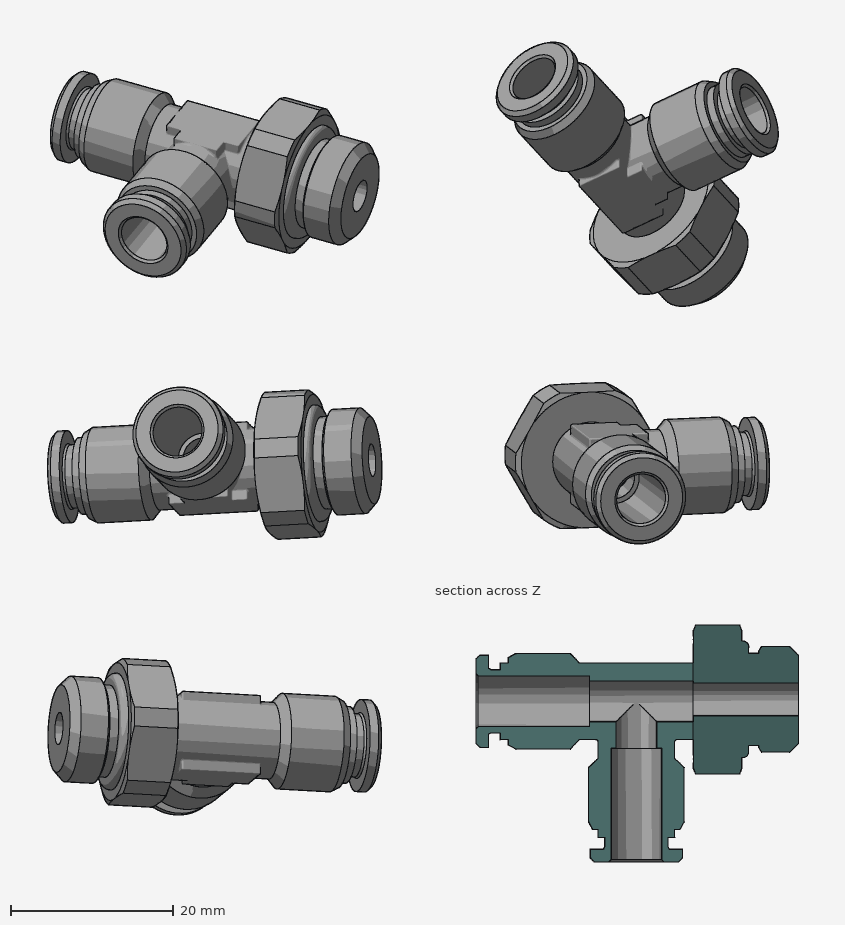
import cadquery as cq
import math


port_reach = 19.8
tube_radius = 4.75
barrel_radius = 5.92
barrel_start = 7.05
barrel_full_start = 8.15
barrel_full_end = 14.85
barrel_end = 15.8
barrel_end_radius = 5.4
collar_end = 16.8

collet_radius = 5.7
collet_width = 1.6
collet_chamfer = 0.5
collet_neck_radius = 3.92
collet_root_width = 0.3
collet_root_rise = 0.15
socket_radius = 3.1
socket_chamfer = 0.3
socket_depth = 14.0
bore_radius = 2.5

pad_height = 5.0
pad_half_length = 5.0
pad_half_width = 3.0
pad_stem_reach = 5.0
pad_corner_fillet = 0.2
pad_edge_fillet = 0.2
pad_seat_height = math.sqrt(tube_radius**2 - pad_half_width**2)
pad_root_fillet = 0.35
crotch_fillet = 0.2

tolerance = 0.01

stud_offset = 0.23
hex_start = 7.0
hex_width = 6.0
hex_across_flats = 17.0
hex_corner_radius = 9.2
hex_face_radius = 8.5
hex_chamfer = 0.25
flange_radius = 7.22
flange_width = 0.87
flange_fillet = 0.8
stud_neck_radius = 5.7
thread_start = 15.05
thread_root_radius = 5.95
thread_lead_in = 0.35
thread_radius = 6.54
thread_end_chamfer = 1.13
stud_end = 20.0
stud_bore_radius = 2.0


def port_profile():
    """Half section of a port, along -X from the origin to the collet face."""
    collet_start = port_reach - collet_width
    return (
        cq.Workplane("XY")
        .moveTo(0, 0)
        .lineTo(0, tube_radius)
        .lineTo(-barrel_start, tube_radius)
        .lineTo(-barrel_full_start, barrel_radius)
        .lineTo(-barrel_full_end, barrel_radius)
        .lineTo(-barrel_end, barrel_end_radius)
        .lineTo(-barrel_end, tube_radius)
        .lineTo(-collar_end, tube_radius)
        .lineTo(-collar_end, collet_neck_radius)
        .lineTo(-collet_start + collet_root_width, collet_neck_radius)
        .lineTo(-collet_start, collet_neck_radius + collet_root_rise)
        .lineTo(-collet_start, collet_radius)
        .lineTo(-port_reach + collet_chamfer, collet_radius)
        .lineTo(-port_reach, collet_radius - collet_chamfer)
        .lineTo(-port_reach, 0)
        .close()
    )


def port_bore_profile():
    """Half section of the stepped bore of a port."""
    socket_end = port_reach - socket_depth
    return (
        cq.Workplane("XY")
        .moveTo(0, 0)
        .lineTo(0, bore_radius)
        .lineTo(-socket_end, bore_radius)
        .lineTo(-socket_end, socket_radius)
        .lineTo(-port_reach + socket_chamfer, socket_radius)
        .lineTo(-port_reach, socket_radius + socket_chamfer)
        .lineTo(-port_reach, 0)
        .close()
    )


def turned(profile):
    return profile.revolve(360, (0, 0, 0), (1, 0, 0))


def to_branch(shape):
    """Swing a shape from the -X direction to the -Y direction."""
    return shape.rotate((0, 0, 0), (0, 0, 1), 90)


def pads():
    """A T-shaped block through the crossing whose ends stand out as the two pads."""
    return (
        cq.Workplane("XY", origin=(0, 0, -pad_height))
        .moveTo(-pad_half_length, pad_half_width)
        .lineTo(pad_half_length, pad_half_width)
        .lineTo(pad_half_length, -pad_half_width)
        .lineTo(pad_half_width, -pad_half_width)
        .lineTo(pad_half_width, -pad_stem_reach)
        .lineTo(-pad_half_width, -pad_stem_reach)
        .lineTo(-pad_half_width, -pad_half_width)
        .lineTo(-pad_half_length, -pad_half_width)
        .close()
        .extrude(2 * pad_height)
        .edges("|Z and (<X or >X or <Y)")
        .fillet(pad_corner_fillet)
        .faces("|Z")
        .edges()
        .fillet(pad_edge_fillet)
    )


def edges_by_height(body, lowest, highest):
    """Edges within the reach of the pads whose centre lies at such a height above or below the axes."""
    reach = pad_stem_reach + tolerance

    def is_wanted(edge):
        centre = edge.Center()
        is_near = max(abs(centre.x), abs(centre.y)) < reach
        return is_near and lowest - tolerance < abs(centre.z) < highest + tolerance

    return [edge for edge in body.edges().vals() if is_wanted(edge)]


def make_tee():
    outer = turned(port_profile())
    bore = turned(port_bore_profile())
    tee = outer.union(to_branch(outer))
    tee = tee.union(cq.Workplane("YZ").circle(tube_radius).extrude(hex_start))
    tee = tee.union(pads())
    root_edges = tee.newObject(edges_by_height(tee, pad_seat_height, tube_radius)).edges("not |Z")
    tee = root_edges.fillet(pad_root_fillet)
    crotch_edges = tee.newObject(edges_by_height(tee, 0, pad_seat_height)).edges("%ELLIPSE")
    tee = crotch_edges.fillet(crotch_fillet)
    tee = tee.cut(bore).cut(to_branch(bore))
    return tee.cut(cq.Workplane("YZ").circle(bore_radius).extrude(hex_start))


def make_hexagon():
    across_corners = hex_across_flats / math.cos(math.pi / 6)
    hex_end = hex_start + hex_width
    prism = (
        cq.Workplane("YZ", origin=(hex_start, 0, 0))
        .polygon(6, across_corners)
        .extrude(hex_width)
    )
    rounding = turned(
        cq.Workplane("XY")
        .moveTo(hex_start, 0)
        .lineTo(hex_start, hex_face_radius)
        .lineTo(hex_start + hex_chamfer, hex_corner_radius)
        .lineTo(hex_end - hex_chamfer, hex_corner_radius)
        .lineTo(hex_end, hex_face_radius)
        .lineTo(hex_end, 0)
        .close()
    )
    return prism.intersect(rounding)


def make_stud():
    hex_end = hex_start + hex_width
    flange_end = hex_end + flange_width
    shank = turned(
        cq.Workplane("XY")
        .moveTo(hex_end, 0)
        .lineTo(hex_end, flange_radius)
        .lineTo(flange_end - flange_fillet, flange_radius)
        .radiusArc((flange_end, flange_radius - flange_fillet), flange_fillet)
        .lineTo(flange_end, stud_neck_radius)
        .lineTo(thread_start, stud_neck_radius)
        .lineTo(thread_start, thread_root_radius)
        .lineTo(thread_start + thread_lead_in, thread_radius)
        .lineTo(stud_end - thread_end_chamfer, thread_radius)
        .lineTo(stud_end, thread_radius - thread_end_chamfer)
        .lineTo(stud_end, 0)
        .close()
    )
    bore = (
        cq.Workplane("YZ", origin=(hex_start, 0, 0))
        .circle(stud_bore_radius)
        .extrude(stud_end - hex_start)
    )
    return make_hexagon().union(shank).cut(bore).translate((0, stud_offset, 0))


tee = make_tee()
stud = make_stud()
result = cq.Compound.makeCompound([tee.val(), stud.val()])